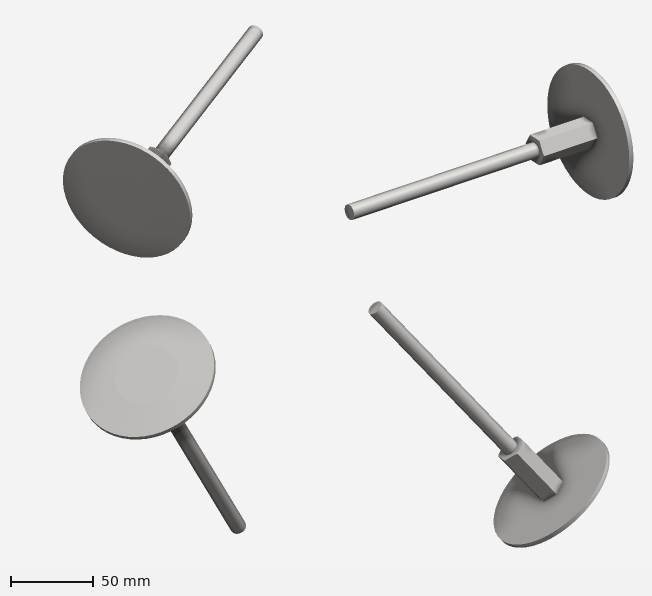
import cadquery as cq
import math

total_length = 181.6

plate_diameter = 85.5
pad_diameter = 40.0
plate_thickness = 4.0
rim_width = 3.0

sleeve_across_flats = 16.9
sleeve_length = 40.0
sleeve_chamfer_diameter = 18.2
sleeve_chamfer_angle = 30.0

rod_diameter = 10.0

sleeve_across_corners = sleeve_across_flats / math.cos(math.pi / 6)
sleeve_end = plate_thickness + sleeve_length
rod_length = total_length - plate_thickness


def cylinder_along_y(diameter, start, length):
    """Solid cylinder on the Y axis, growing toward +Y from start."""
    base = cq.Workplane("XZ", origin=(0, start, 0))
    return base.circle(diameter / 2).extrude(-length)


def make_foot_plate():
    """Disc revolved around the Y axis, with its conical face toward -Y."""
    profile = (
        cq.Workplane("XY")
        .lineTo(pad_diameter / 2, 0)
        .lineTo(plate_diameter / 2, plate_thickness - rim_width)
        .lineTo(plate_diameter / 2, plate_thickness)
        .lineTo(0, plate_thickness)
        .close()
    )
    return profile.revolve(360, (0, 0, 0), (0, 1, 0))


def make_chamfer_envelope():
    """Round bar with a conical end that trims the corners of the sleeve."""
    corner_radius = sleeve_across_corners / 2
    end_radius = sleeve_chamfer_diameter / 2
    chamfer_length = (corner_radius - end_radius) * math.tan(math.radians(sleeve_chamfer_angle))
    profile = (
        cq.Workplane("XY")
        .moveTo(0, plate_thickness)
        .lineTo(corner_radius, plate_thickness)
        .lineTo(corner_radius, sleeve_end - chamfer_length)
        .lineTo(end_radius, sleeve_end)
        .lineTo(0, sleeve_end)
        .close()
    )
    return profile.revolve(360, (0, 0, 0), (0, 1, 0))


def make_sleeve():
    """Hexagonal sleeve with corners on the X axis and a through bore for the rod."""
    base = cq.Workplane("XZ", origin=(0, plate_thickness, 0))
    hexagon = base.polygon(6, sleeve_across_corners).extrude(-sleeve_length)
    bore = cylinder_along_y(rod_diameter, plate_thickness, sleeve_length)
    return hexagon.intersect(make_chamfer_envelope()).cut(bore)


def make_rod():
    """Plain rod through the sleeve, standing on the back of the foot plate."""
    return cylinder_along_y(rod_diameter, plate_thickness, rod_length)


foot_plate = make_foot_plate()
sleeve = make_sleeve()
rod = make_rod()

result = cq.Compound.makeCompound([foot_plate.val(), sleeve.val(), rod.val()])